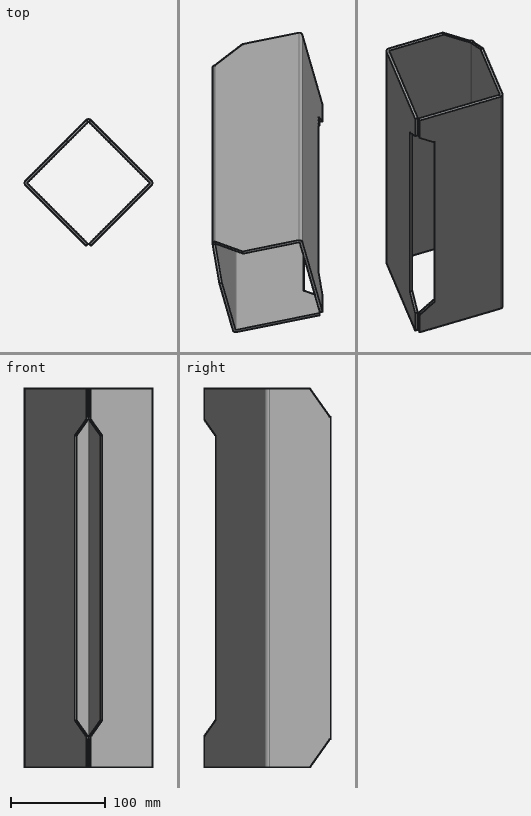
import cadquery as cq

length = 400.0
width = 97.5
wall = 3.0
bend_radius = 3.4
seam_setback = 0.7
end_chamfer = 30.0
slot_end_distance = 33.0
slot_depth = 17.2

half_width = width / 2
half_length = length / 2
inner_bend_radius = bend_radius - wall
seam_size = wall + seam_setback
sheet_end = -half_width + seam_size


def make_tube():
    """Bent square tube, still closed at the front corner."""
    outer = cq.Workplane("XY").box(width, width, length)
    outer = outer.edges("|Z").fillet(bend_radius)
    inner_width = width - 2 * wall
    inner = cq.Workplane("XY").box(inner_width, inner_width, length)
    inner = inner.edges("|Z").fillet(inner_bend_radius)
    return outer.cut(inner)


def make_seam():
    """Square bar that leaves the two sheet ends facing each other."""
    corner = (-half_width, -half_width, -half_length)
    return cq.Workplane("XY").box(seam_size, seam_size, length, centered=False).translate(corner)


def across_both_walls(outline, inner_x, depth):
    """Extrude a Y-Z outline through an X wall, with its twin through the matching Y wall."""
    cutter = cq.Workplane("YZ", origin=(inner_x, 0, 0)).polyline(outline).close().extrude(depth)
    twin = cutter.mirror("YZ").rotate((0, 0, 0), (0, 0, 1), -90)
    return cutter.union(twin)


def make_slot():
    """Long slot with 45 degree ends along the front seam."""
    tip = half_length - slot_end_distance
    shoulder = tip - slot_depth
    slot_edge = sheet_end + slot_depth
    outline = [
        (-half_width, tip),
        (sheet_end, tip),
        (slot_edge, shoulder),
        (slot_edge, -shoulder),
        (sheet_end, -tip),
        (-half_width, -tip),
    ]
    return across_both_walls(outline, -half_width, seam_size)


def make_end_cut():
    """45 degree cut on the top of both back walls, level across the back bend."""
    bend_start = half_width - bend_radius
    cut_floor = half_length - end_chamfer
    outline = [
        (bend_start - end_chamfer, half_length),
        (bend_start, cut_floor),
        (half_width, cut_floor),
        (half_width, half_length),
    ]
    return across_both_walls(outline, bend_start, bend_radius)


top_cut = make_end_cut()
bottom_cut = top_cut.mirror("XY")
post = make_tube().cut(make_seam()).cut(make_slot()).cut(top_cut).cut(bottom_cut)
result = post.rotate((0, 0, 0), (0, 0, 1), 45)